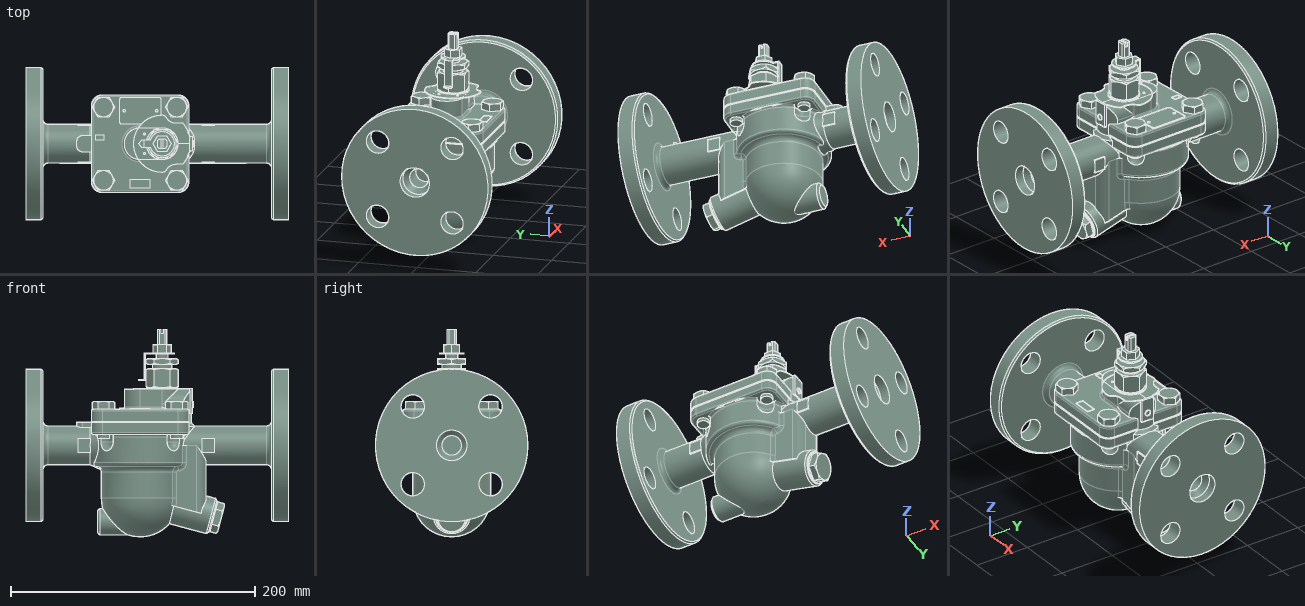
import cadquery as cq
import math


OVERALL_LENGTH = 215.0
INLET_X = -93.5
OUTLET_X = INLET_X + OVERALL_LENGTH
FLANGE_DIA = 125.0
FLANGE_THICKNESS = 14.0
FLANGE_CHAMFER = 1.5
FLANGE_HOLE_DIA = 19.0
FLANGE_BOLT_CIRCLE = 90.0
FLANGE_HOLES = 4
PIPE_DIA = 32.0
NECK_FILLET = 4.0
SOCKET_DIA = 25.0
SOCKET_DEPTH = 8.0
BORE_DIA = 16.0
BORE_DEPTH = 30.0
COLLAR_DIA = 40.0
COLLAR_X = (-41.0, -32.0)

PLATE_SIZE = 80.0
PLATE_CORNER = 9.0
PLATE_ROUND = 1.5
PLATE_BOTTOM = 9.0
GASKET_Z = 18.6
GASKET_THICKNESS = 0.8
GASKET_INSET = 0.5
COVER_BOTTOM = GASKET_Z + GASKET_THICKNESS
COVER_TOP = 29.6
RIM_RADIUS = 39.0
RIM_EDGE_Z = -14.2
RIM_ROUND = 3.0
RIM_TURN = 85.0
RIM_FLARE = 2.0
BOWL_RADIUS = 32.0
BODY_BOTTOM = -75.0
BOWL_CENTER_Z = BODY_BOTTOM + BOWL_RADIUS

PASSAGE_WIDTH = PIPE_DIA
PASSAGE_END = 54.0
PASSAGE_CORNER = 7.8
PASSAGE_FILLET = 4.0
PASSAGE_JOINT_X = (27.0, 36.0)
STRAINER_DIA = 30.0
STRAINER_CHAMFER = 1.5
STRAINER_TILT = 15.0
STRAINER_END = (59.4, -58.2)
STRAINER_LENGTH = 55.0
PLUG_FLATS = 22.0
PLUG_HEIGHT = 7.2
PLUG_GAP = 1.0
PLUG_GAP_DIA = 26.0

DRAIN_DIA = 22.0
DRAIN_Z = -62.5
DRAIN_X = -35.0
DRAIN_CHAMFER = 2.0

PAD_WIDTH = 11.4
PAD_LENGTH = 10.5
PAD_STARTS = (-51.0, 50.5)
TAB_WIDTH = 13.4
TAB_START = -52.0
TAB_END = -38.0
TAB_TOP = 19.0
TAB_ROUND = 5.0

BOLT_SPACING = 60.0
BOLT_DIA = 10.0
BOLT_FLATS = 16.0
BOLT_HEAD = 6.4
BOLT_TIP_Z = 5.8
RELIEF_DIA = 16.2
RELIEF_CENTER_Z = 2.9

TOWER_RADIUS = 13.0
TOWER_TOP = 46.0
TOWER_FILLET = 1.8
STEM_X = 18.0
ARM_SHOULDER_X = 35.0
ARM_TIP_X = 42.0
FOOT_OFFSET = 3.0
FOOT_TOP = 15.5

DIAL_RADIUS = 23.4
DIAL_THICKNESS = 0.7
DIAL_TOP = TOWER_TOP + DIAL_THICKNESS
LOBE_HALF_WIDTH = 16.8
LOBE_TIP_X = 41.2
DIAL_ROUND = 4.0
DIAL_TURN = 60.0
DIAL_HOLE_DIA = 1.6
DIAL_HOLE_RADIUS_X = 14.5
DIAL_HOLE_Y = 8.0
HANGER_WIDTH = 11.5
HANGER_BOTTOM = 26.0
RIVET_DIA = 5.0
RIVET_Z = 33.5
RIVET_HEIGHT = 0.8

SEAT_DIA = 26.0
SEAT_TOP = 47.2
HOUSING_FLATS = 23.0
HOUSING_TOP = 62.9
NECK_DIA = 16.0
LOCKNUT_Z = 66.2
LOCKNUT_TOP = 71.1
SPINDLE_DIA = 10.0
POINTER_Z = 74.7
POINTER_THICKNESS = 1.1
SMALL_NUT_FLATS = 13.0
SMALL_NUT_TOP = 82.4
STEM_DIA = 9.0
STEM_FLATS = 7.8
STEM_TOP = 95.0
STEM_SLOT_WIDTH = 1.6
STEM_SLOT_DEPTH = 3.3
NUT_BEVEL = 30.0

POINTER_DISC_DIA = 20.0
POINTER_WIDTH = 6.5
POINTER_LEG_X = 3.3
POINTER_LEG_BOTTOM = 53.0
POINTER_SHOULDER_X = 1.5
POINTER_TIP_X = -1.2

NAMEPLATE = (34.0, 22.0)
NAMEPLATE_CENTER = (0.2, 27.0)
NAMEPLATE_THICKNESS = 0.8
NAMEPLATE_CORNER = 2.0
NAMEPLATE_HOLE_DIA = 2.0
NAMEPLATE_HOLE_SPACING = 26.6
MARK_HEIGHT = 0.5
LONG_MARK = (16.5, 6.8)
LONG_MARK_CENTER = (0.0, -32.7)
SHORT_MARK = (6.7, 4.5)
SHORT_MARK_CENTER = (-33.0, 5.1)

CORNERS = [(sx * BOLT_SPACING / 2, sy * BOLT_SPACING / 2) for sx in (-1, 1) for sy in (-1, 1)]


def disc(dia, bottom, top, x=0.0, y=0.0):
    """Upright cylinder between two heights."""
    return cq.Workplane("XY", origin=(x, y, bottom)).circle(dia / 2).extrude(top - bottom)


def block(x0, x1, y0, y1, z0, z1):
    """Axis-aligned box between limits."""
    return cq.Workplane("XY").box(x1 - x0, y1 - y0, z1 - z0, centered=False).translate((x0, y0, z0))


def hex_prism(flats, height, bevel_bottom=False, bevel_top=True):
    """Hexagon standing on Z = 0 with two corners on X and bevelled corners."""
    corners = flats / math.cos(math.radians(30))
    prism = cq.Workplane("XY").polygon(6, corners).extrude(height)
    rise = (corners - flats) / 2 * math.tan(math.radians(NUT_BEVEL))
    low = rise if bevel_bottom else 0.0
    high = rise if bevel_top else 0.0
    bottom_radius = (flats if bevel_bottom else corners) / 2
    top_radius = (flats if bevel_top else corners) / 2
    outline = cq.Workplane("XZ").moveTo(0, 0).lineTo(bottom_radius, 0)
    if bevel_bottom:
        outline = outline.lineTo(corners / 2, low)
    outline = outline.lineTo(corners / 2, height - high)
    if bevel_top:
        outline = outline.lineTo(top_radius, height)
    turned = outline.lineTo(0, height).close().revolve(360, (0, 0, 0), (0, 1, 0))
    return prism.intersect(turned)


def pipe_end(face_x, inward):
    """Flange with filleted neck; inward is the X direction toward the body."""
    back = face_x + inward * FLANGE_THICKNESS
    rim, pipe = FLANGE_DIA / 2, PIPE_DIA / 2
    bend = NECK_FILLET * (1 - math.sqrt(0.5))
    flange = (
        cq.Workplane("XY").moveTo(face_x, 0).lineTo(face_x, rim)
        .lineTo(back - inward * FLANGE_CHAMFER, rim).lineTo(back, rim - FLANGE_CHAMFER)
        .lineTo(back, pipe + NECK_FILLET)
        .threePointArc((back + inward * bend, pipe + bend), (back + inward * NECK_FILLET, pipe))
        .lineTo(0, pipe).lineTo(0, 0).close()
        .revolve(360, (0, 0, 0), (1, 0, 0))
    )
    holes = (
        cq.Workplane("YZ", origin=(face_x, 0, 0))
        .polarArray(FLANGE_BOLT_CIRCLE / 2, 45, 360, FLANGE_HOLES)
        .circle(FLANGE_HOLE_DIA / 2).extrude(inward * FLANGE_THICKNESS)
    )
    return flange.cut(holes)


def port(face_x, inward):
    """Socket, 45 degree cone and blind bore cut into a flange face."""
    socket, bore = SOCKET_DIA / 2, BORE_DIA / 2
    cone_start = face_x + inward * SOCKET_DEPTH
    cone_end = cone_start + inward * (socket - bore)
    floor = face_x + inward * BORE_DEPTH
    return (
        cq.Workplane("XY").moveTo(face_x, 0).lineTo(face_x, socket).lineTo(cone_start, socket)
        .lineTo(cone_end, bore).lineTo(floor, bore).lineTo(floor, 0).close()
        .revolve(360, (0, 0, 0), (1, 0, 0))
    )


def inlet_collar():
    """Cone that widens the inlet pipe into the body."""
    start, end = COLLAR_X
    return (
        cq.Workplane("XY").moveTo(start, 0).lineTo(start, PIPE_DIA / 2).lineTo(end, COLLAR_DIA / 2)
        .lineTo(0, COLLAR_DIA / 2).lineTo(0, 0).close().revolve(360, (0, 0, 0), (1, 0, 0))
    )


def bowl():
    """Round body: flare under the plate, rim, S-shaped shoulder and hemispherical bottom."""
    mid = BOWL_RADIUS * math.sqrt(0.5)
    turn = math.radians(RIM_TURN)
    flare_bend = RIM_FLARE * (1 - math.sqrt(0.5))
    rim_center_x = RIM_RADIUS - RIM_ROUND

    def rim_point(angle):
        return (rim_center_x + RIM_ROUND * math.cos(angle), RIM_EDGE_Z - RIM_ROUND * math.sin(angle))

    shoulder = rim_point(turn)
    cove = (shoulder[0] - BOWL_RADIUS) / (1 - math.cos(turn))
    cove_end_z = shoulder[1] - cove * math.sin(turn)
    cove_mid = (BOWL_RADIUS + cove * (1 - math.cos(turn / 2)), cove_end_z + cove * math.sin(turn / 2))
    return (
        cq.Workplane("XZ").moveTo(0, PLATE_BOTTOM).lineTo(RIM_RADIUS + RIM_FLARE, PLATE_BOTTOM)
        .threePointArc((RIM_RADIUS + flare_bend, PLATE_BOTTOM - flare_bend),
                       (RIM_RADIUS, PLATE_BOTTOM - RIM_FLARE))
        .lineTo(RIM_RADIUS, RIM_EDGE_Z)
        .threePointArc(rim_point(turn / 2), shoulder)
        .threePointArc(cove_mid, (BOWL_RADIUS, cove_end_z))
        .lineTo(BOWL_RADIUS, BOWL_CENTER_Z)
        .threePointArc((mid, BOWL_CENTER_Z - mid), (0, BODY_BOTTOM)).close()
        .revolve(360, (0, 0, 0), (0, 1, 0))
    )


def bolt_relief(x, y):
    """Round-bottomed relief around a bolt tip, cut into the rim."""
    return disc(RELIEF_DIA, RELIEF_CENTER_Z, PLATE_BOTTOM, x, y).union(
        cq.Workplane("XY", origin=(x, y, RELIEF_CENTER_Z)).sphere(RELIEF_DIA / 2)
    )


def body():
    """Bowl trimmed to the plate outline, filleted into the passage and cut by the bolt reliefs."""
    half = PASSAGE_WIDTH / 2
    margin = 0.1
    plate_column = square_plate(PLATE_SIZE, BODY_BOTTOM, PLATE_BOTTOM)
    shape = bowl().intersect(plate_column).union(passage())
    for side in (-1, 1):
        corner_zone = cq.selectors.BoxSelector(
            (PASSAGE_JOINT_X[0], side * half - margin, BOWL_CENTER_Z - margin),
            (PASSAGE_JOINT_X[1], side * half + margin, margin), boundingbox=True
        )
        shape = shape.edges(corner_zone).fillet(PASSAGE_FILLET)
    for corner in CORNERS:
        shape = shape.cut(bolt_relief(*corner))
    return shape


def square_plate(size, bottom, top):
    """Square plate with rounded corners."""
    inset = (PLATE_SIZE - size) / 2
    plate = cq.Workplane("XY", origin=(0, 0, bottom)).rect(size, size).extrude(top - bottom)
    return plate.edges("|Z").fillet(PLATE_CORNER - inset)


def plates():
    """Body flange, gasket and cover plate."""
    lower = square_plate(PLATE_SIZE, PLATE_BOTTOM, GASKET_Z).faces("<Z").edges().fillet(PLATE_ROUND)
    gasket = square_plate(PLATE_SIZE - 2 * GASKET_INSET, GASKET_Z, COVER_BOTTOM)
    cover = square_plate(PLATE_SIZE, COVER_BOTTOM, COVER_TOP).faces(">Z").edges().fillet(PLATE_ROUND)
    return lower.union(gasket).union(cover)


def bolt(x, y):
    """Cover bolt with its tip below the body flange."""
    head = hex_prism(BOLT_FLATS, BOLT_HEAD).translate((x, y, COVER_TOP))
    return head.union(disc(BOLT_DIA, BOLT_TIP_Z, COVER_TOP, x, y))


def strainer_axis_z(x):
    """Height of the tilted strainer axis at a given X."""
    return STRAINER_END[1] - (x - STRAINER_END[0]) * math.tan(math.radians(STRAINER_TILT))


def passage():
    """Outlet passage with rounded outer corners, ending on the strainer axis."""
    half = PASSAGE_WIDTH / 2
    wall = block(0, PASSAGE_END, -half, half, strainer_axis_z(PASSAGE_END), 0)
    wall = wall.edges("|Z and >X").fillet(PASSAGE_CORNER)
    below = (
        cq.Workplane("XZ").moveTo(0, strainer_axis_z(0))
        .lineTo(PASSAGE_END, strainer_axis_z(PASSAGE_END)).lineTo(0, strainer_axis_z(PASSAGE_END))
        .close().extrude(PASSAGE_WIDTH, both=True)
    )
    return wall.cut(below)


def strainer():
    """Tilted strainer boss with its hexagon plug."""
    boss = disc(STRAINER_DIA, -STRAINER_LENGTH, 0).faces(">Z").chamfer(STRAINER_CHAMFER)
    spacer = disc(PLUG_GAP_DIA, 0, PLUG_GAP)
    plug = hex_prism(PLUG_FLATS, PLUG_HEIGHT - PLUG_GAP).translate((0, 0, PLUG_GAP))
    tilted = boss.union(spacer).union(plug).rotate((0, 0, 0), (0, 1, 0), 90 + STRAINER_TILT)
    return tilted.translate((STRAINER_END[0], 0, STRAINER_END[1]))


def drain_boss():
    """Horizontal boss on the inlet side of the bowl."""
    boss = cq.Workplane("YZ", origin=(DRAIN_X, 0, DRAIN_Z)).circle(DRAIN_DIA / 2).extrude(-DRAIN_X)
    return boss.faces("<X").chamfer(DRAIN_CHAMFER)


def pipe_marks():
    """Flat pads on both sides of the pipe and a rounded tab on top of the inlet."""
    half = PIPE_DIA / 2
    marks = block(TAB_START, TAB_END, -TAB_WIDTH / 2, TAB_WIDTH / 2, 0, TAB_TOP)
    marks = marks.edges("|Z and <X").fillet(TAB_ROUND)
    for start in PAD_STARTS:
        pad = block(start, start + PAD_LENGTH, -half, half, -PAD_WIDTH / 2, PAD_WIDTH / 2)
        marks = marks.union(pad)
    return marks


def tower():
    """Slot-shaped cover tower from the cover centre to the valve stem."""
    length = STEM_X + 2 * TOWER_RADIUS
    slot = cq.Workplane("XY", origin=(STEM_X / 2, 0, COVER_TOP)).slot2D(length, 2 * TOWER_RADIUS)
    return slot.extrude(TOWER_TOP - COVER_TOP)


def cover():
    """Plates and tower with a fillet where they meet."""
    reach = TOWER_RADIUS + 1
    margin = 0.1
    tower_foot = cq.selectors.BoxSelector(
        (-reach, -reach, COVER_TOP - margin), (STEM_X + reach, reach, COVER_TOP + margin), boundingbox=True
    )
    return plates().union(tower()).edges(tower_foot).fillet(TOWER_FILLET)


def arm_outline(height, offset=0.0):
    """Plan of the side arm with its curved tip, optionally enlarged."""
    half = TOWER_RADIUS + offset
    return (
        cq.Workplane("XY", origin=(0, 0, height)).moveTo(STEM_X, -half)
        .lineTo(ARM_SHOULDER_X, -half)
        .threePointArc((ARM_TIP_X + offset, 0), (ARM_SHOULDER_X, half)).lineTo(STEM_X, half).close()
    )


def arm():
    """Round-topped side arm leading down past the cover edge to a bevelled foot on the pipe."""
    upright = arm_outline(PLATE_BOTTOM).extrude(TOWER_TOP - PLATE_BOTTOM)
    arch_center_z = TOWER_TOP - TOWER_RADIUS
    arch = (
        cq.Workplane("YZ").moveTo(-TOWER_RADIUS, 0).lineTo(-TOWER_RADIUS, arch_center_z)
        .threePointArc((0, TOWER_TOP), (TOWER_RADIUS, arch_center_z)).lineTo(TOWER_RADIUS, 0)
        .close().extrude(ARM_TIP_X)
    )
    foot = arm_outline(0, FOOT_OFFSET).extrude(FOOT_TOP)
    bevel = arm_outline(FOOT_TOP, FOOT_OFFSET).extrude(FOOT_OFFSET, taper=45)
    return upright.intersect(arch).union(foot).union(bevel)


def dial():
    """Thin dial plate on the tower with a bent hanger over the arm tip."""
    turn = math.radians(DIAL_TURN)
    round_y = DIAL_RADIUS - DIAL_ROUND
    bend = (STEM_X + DIAL_ROUND * math.sin(turn), round_y + DIAL_ROUND * math.cos(turn))
    sweep = (bend[1] - LOBE_HALF_WIDTH) / (1 - math.cos(turn))
    lobe_start = bend[0] + sweep * math.sin(turn)
    crest = (STEM_X + DIAL_ROUND * math.sin(turn / 2), round_y + DIAL_ROUND * math.cos(turn / 2))
    dip = (lobe_start - sweep * math.sin(turn / 2),
           LOBE_HALF_WIDTH + sweep * (1 - math.cos(turn / 2)))
    plate = (
        cq.Workplane("XY", origin=(0, 0, TOWER_TOP)).moveTo(STEM_X, -DIAL_RADIUS)
        .threePointArc((STEM_X - DIAL_RADIUS, 0), (STEM_X, DIAL_RADIUS))
        .threePointArc(crest, bend).threePointArc(dip, (lobe_start, LOBE_HALF_WIDTH))
        .lineTo(ARM_SHOULDER_X, LOBE_HALF_WIDTH)
        .threePointArc((LOBE_TIP_X, 0), (ARM_SHOULDER_X, -LOBE_HALF_WIDTH))
        .lineTo(lobe_start, -LOBE_HALF_WIDTH).threePointArc((dip[0], -dip[1]), (bend[0], -bend[1]))
        .threePointArc((crest[0], -crest[1]), (STEM_X, -DIAL_RADIUS)).close()
        .extrude(DIAL_THICKNESS)
    )
    for y in (-DIAL_HOLE_Y, DIAL_HOLE_Y):
        plate = plate.cut(disc(DIAL_HOLE_DIA, TOWER_TOP, DIAL_TOP, STEM_X - DIAL_HOLE_RADIUS_X, y))
    half = HANGER_WIDTH / 2
    outer_x = ARM_TIP_X + DIAL_THICKNESS
    hanger = block(LOBE_TIP_X - 1, outer_x, -half, half, HANGER_BOTTOM, DIAL_TOP)
    rivet = (
        cq.Workplane("YZ", origin=(outer_x, 0, RIVET_Z)).circle(RIVET_DIA / 2).extrude(RIVET_HEIGHT)
    )
    return plate.union(hanger).union(rivet)


def stem_stack():
    """Nuts, spindle and slotted stem on the tower."""
    housing = hex_prism(HOUSING_FLATS, HOUSING_TOP - SEAT_TOP, True, True)
    locknut = hex_prism(HOUSING_FLATS, LOCKNUT_TOP - LOCKNUT_Z, True, True)
    small_nut_z = POINTER_Z + POINTER_THICKNESS
    small_nut = hex_prism(SMALL_NUT_FLATS, SMALL_NUT_TOP - small_nut_z, False, False)
    stem = disc(STEM_DIA, SMALL_NUT_TOP, STEM_TOP).intersect(
        cq.Workplane("XY", origin=(0, 0, SMALL_NUT_TOP)).rect(STEM_FLATS, STEM_FLATS)
        .extrude(STEM_TOP - SMALL_NUT_TOP)
    )
    slot_half = STEM_SLOT_WIDTH / 2
    stem = stem.cut(block(-slot_half, slot_half, -STEM_DIA, STEM_DIA, STEM_TOP - STEM_SLOT_DEPTH, STEM_TOP))
    stack = disc(SEAT_DIA, TOWER_TOP, SEAT_TOP).union(housing.translate((0, 0, SEAT_TOP)))
    stack = stack.union(disc(NECK_DIA, HOUSING_TOP, LOCKNUT_Z))
    stack = stack.union(locknut.translate((0, 0, LOCKNUT_Z)))
    stack = stack.union(disc(SPINDLE_DIA, LOCKNUT_TOP, POINTER_Z))
    stack = stack.union(disc(POINTER_DISC_DIA, POINTER_Z, small_nut_z))
    stack = stack.union(small_nut.translate((0, 0, small_nut_z))).union(stem)
    return stack.translate((STEM_X, 0, 0))


def pointer():
    """Bent pointer strip: arm from the disc, upright leg and arrow-shaped toe."""
    half = POINTER_WIDTH / 2
    top = POINTER_Z + POINTER_THICKNESS
    reach = block(POINTER_LEG_X, STEM_X, -half, half, POINTER_Z, top)
    leg = block(POINTER_LEG_X, POINTER_LEG_X + POINTER_THICKNESS, -half, half, POINTER_LEG_BOTTOM, top)
    toe = (
        cq.Workplane("XY", origin=(0, 0, POINTER_LEG_BOTTOM))
        .moveTo(POINTER_LEG_X + POINTER_THICKNESS, -half).lineTo(POINTER_SHOULDER_X, -half)
        .lineTo(POINTER_TIP_X, 0).lineTo(POINTER_SHOULDER_X, half)
        .lineTo(POINTER_LEG_X + POINTER_THICKNESS, half).close().extrude(POINTER_THICKNESS)
    )
    return reach.union(leg).union(toe)


def cover_marks():
    """Nameplate and two raised marks on the cover."""
    base = cq.Workplane("XY", origin=(0, 0, COVER_TOP))
    plate = base.center(*NAMEPLATE_CENTER).rect(*NAMEPLATE).extrude(NAMEPLATE_THICKNESS)
    plate = plate.edges("|Z").fillet(NAMEPLATE_CORNER)
    for side in (-1, 1):
        hole_x = NAMEPLATE_CENTER[0] + side * NAMEPLATE_HOLE_SPACING / 2
        plate = plate.cut(disc(NAMEPLATE_HOLE_DIA, COVER_TOP, COVER_TOP + NAMEPLATE_THICKNESS,
                               hole_x, NAMEPLATE_CENTER[1]))
    long_mark = base.center(*LONG_MARK_CENTER).rect(*LONG_MARK).extrude(MARK_HEIGHT)
    short_mark = base.center(*SHORT_MARK_CENTER).rect(*SHORT_MARK).extrude(MARK_HEIGHT)
    return plate.union(long_mark).union(short_mark)


result = pipe_end(INLET_X, 1).union(pipe_end(OUTLET_X, -1))
for piece in (
    inlet_collar(), body(), cover(), strainer(), drain_boss(), pipe_marks(),
    arm(), dial(), stem_stack(), pointer(), cover_marks(),
):
    result = result.union(piece)
for corner in CORNERS:
    result = result.union(bolt(*corner))
result = result.cut(port(INLET_X, 1)).cut(port(OUTLET_X, -1))